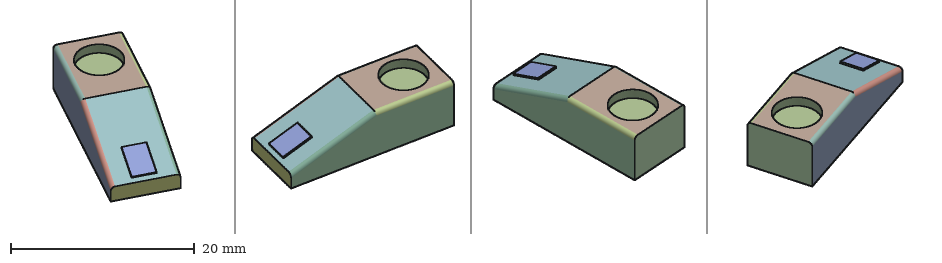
import cadquery as cq
import math

length = 21.0
width = 8.0
height = 6.0
nose_height = 2.0
flat_length = 10.08
edge_radius = 0.5

pocket_diameter = 5.5
pocket_center_x = 4.0
pocket_depth = 1.2

pad_length = 3.95
pad_width = 2.85
pad_thickness = 0.2
pad_center_from_nose = 2.65

slope_run = length - flat_length
slope_drop = height - nose_height
slope_angle = math.degrees(math.atan2(slope_drop, slope_run))


def make_body():
    """Wedge-nosed block with rounded long edges along both tops."""
    body = (
        cq.Workplane("XZ")
        .moveTo(0, 0)
        .lineTo(length, 0)
        .lineTo(length, nose_height)
        .lineTo(flat_length, height)
        .lineTo(0, height)
        .close()
        .extrude(width / 2, both=True)
    )
    side_edges = body.faces("<Y or >Y").edges("not(<Z or |Z)")
    return side_edges.fillet(edge_radius)


def make_pocket():
    """Cylinder removed from the flat top."""
    return (
        cq.Workplane("XY", origin=(pocket_center_x, 0, height - pocket_depth))
        .circle(pocket_diameter / 2)
        .extrude(pocket_depth)
    )


def make_pad():
    """Thin plate lying on the slope, sunk by its own thickness to join the body."""
    pad = cq.Workplane("XY").box(pad_length, pad_width, 2 * pad_thickness)
    angle = math.radians(slope_angle)
    center_x = length - pad_center_from_nose * math.cos(angle)
    center_z = nose_height + pad_center_from_nose * math.sin(angle)
    return pad.rotate((0, 0, 0), (0, 1, 0), slope_angle).translate((center_x, 0, center_z))


result = make_body().cut(make_pocket()).union(make_pad())